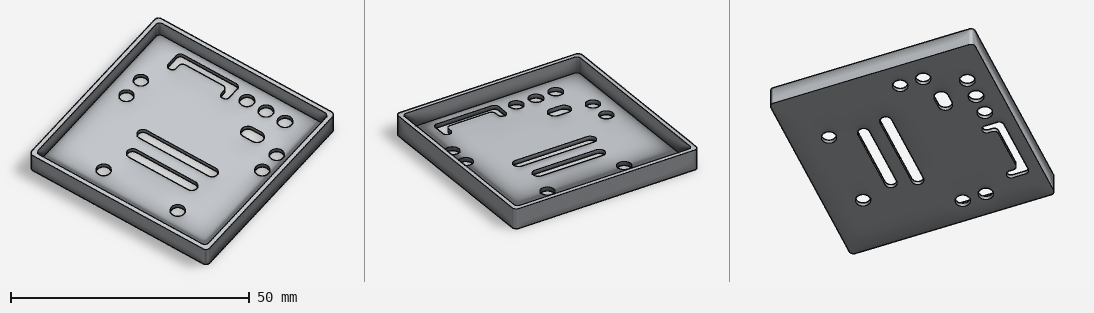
import cadquery as cq

length_x = 45.8
width_y = 46.2
height = 4.9
wall = 1.0
floor = 1.0
corner_radius = 1.0

row_diameter = 3.3
row_pitch = 4.9
row_centre_x = 8.73
row_y = 17.95

pair_diameter = 3.2
side_hole_x = 17.5
side_hole_ys = (9.55, 4.35)
front_hole_x = 9.55
front_hole_y = -14.95

port_length = 5.4
port_width = 3.11
port_centre = (10.15, 11.1)

vent_width = 2.6
vent_centre_x = 0.38
rear_vent_length = 20.4
rear_vent_y = -2.22
front_vent_length = 17.8
front_vent_y = -7.75

u_length = 15.7
u_depth = 4.85
u_slot_width = 2.0
u_centre_x = -7.53
u_back_y = 20.4
u_corner_radius = 1.0
u_tip_radius = 0.95


def rounded_block(size_x, size_y, size_z, radius):
    """Block standing on Z = 0 with rounded vertical edges."""
    block = cq.Workplane("XY").box(size_x, size_y, size_z, centered=(True, True, False))
    return block.edges("|Z").fillet(radius)


def make_tray():
    cavity = rounded_block(
        length_x - 2 * wall, width_y - 2 * wall, height - floor, corner_radius
    )
    return rounded_block(length_x, width_y, height, corner_radius).cut(
        cavity.translate((0, 0, floor))
    )


def round_holes(points, diameter):
    return cq.Workplane("XY").pushPoints(points).circle(diameter / 2).extrude(floor)


def straight_slot(centre, slot_length, slot_width):
    """Slot along X with full round ends."""
    return cq.Workplane("XY").center(*centre).slot2D(slot_length, slot_width).extrude(floor)


def u_slot():
    outer = cq.Workplane("XY").box(u_length, u_depth, floor, centered=(True, True, False))
    outer = outer.edges("|Z and >Y").fillet(u_corner_radius)
    tongue = cq.Workplane("XY").box(
        u_length - 2 * u_slot_width, u_depth, floor, centered=(True, True, False)
    )
    tongue = tongue.edges("|Z and >Y").fillet(u_corner_radius)
    slot = outer.cut(tongue.translate((0, -u_slot_width, 0)))
    slot = slot.edges("|Z and <Y").fillet(u_tip_radius)
    return slot.translate((u_centre_x, u_back_y - u_depth / 2, 0))


row_points = [(row_centre_x + i * row_pitch, row_y) for i in (-1, 0, 1)]
pair_points = [(side * front_hole_x, front_hole_y) for side in (-1, 1)]
pair_points += [(side * side_hole_x, y) for side in (-1, 1) for y in side_hole_ys]

openings = [
    round_holes(row_points, row_diameter),
    round_holes(pair_points, pair_diameter),
    straight_slot(port_centre, port_length, port_width),
    straight_slot((vent_centre_x, rear_vent_y), rear_vent_length, vent_width),
    straight_slot((vent_centre_x, front_vent_y), front_vent_length, vent_width),
    u_slot(),
]

result = make_tray()
for opening in openings:
    result = result.cut(opening)